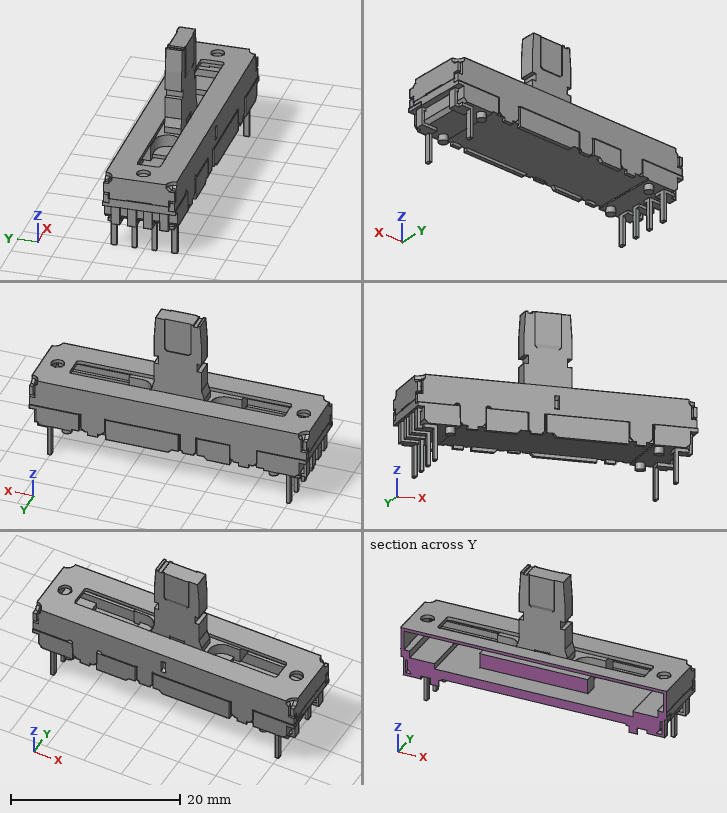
import cadquery as cq

COVER_HALF_X = 17.45
COVER_HALF_Y = 4.38
SHEET = 0.45
COVER_BOTTOM = -3.5
SLOT_HALF_X = 13.55
SLOT_HALF_Y = 1.45
SLOT_CORNER_R = 0.35
HOLE_X = 15.5
HOLE_D = 1.6
CORNER_R = 1.0
CORNER_BEND_R = 0.6
FLAP_SHOULDER = -0.9
FLAP_NARROW = -2.15
FLAP_BOTTOM = -2.95
FLAP_HALF_Y = 3.68
FLAP_NOTCH_HALF_Y = 1.47
FLAP_NOTCH_HEIGHT = 0.1
EAR_TOP = -2.4
EAR_INNER_Y = 3.78
WALL_END_X = 16.75
DENT_HALF_X = 0.28
DENT_TOP = -1.12
DENT_FLOOR_TOP = -1.55
DENT_FLOOR_BOTTOM = -2.52
DENT_BOTTOM = -2.75
DENT_BACKING = 0.2
RELIEF_R = 0.3

RAIL_TOP = FLAP_BOTTOM
LIP_TOP = -2.1
LIP_INNER_Y = 3.65
TRAY_HALF_X = COVER_HALF_X - 0.05
HOUSING_HALF_X = 16.6
HOUSING_HALF_Y = 4.2
HOUSING_BOTTOM = -5.8
END_BLOCK_BOTTOM = -6.02
END_BLOCK_INNER_X = 12.08
END_CHAMFER = 0.5
FLANGE_BOTTOM = -4.0
PIT_HALF_X = 16.25
PIT_HALF_Y = 3.25
PIT_LEDGE = -3.85
DEEP_PIT_HALF_X = 13.0
PIT_FLOOR = -4.55
LUG_X = 35 - COVER_HALF_X
LUG_INNER_Y = -2.25

TAB_HALF_Y = 4.498
LOW_FOOT = -6.23
FOOT_SLOPE = 0.42
LEFT_FOOT_X = -4.55
RIGHT_FOOT_X = -0.5
SIDE_DEPTH = 0.52
LEG_GAP = 0.2
LEG_CHAMFER = 0.45
MIDDLE_LEG_CHAMFER = 0.2
MIDDLE_TONGUE_HALF = 0.75
TONGUE_HALF = 0.63
MIDDLE_OPENING = (-3.7, -1.33)
FRONT_OPENING = (8.9, 12.15)
BACK_OPENING = (7.8, 11.2)

CARRIAGE_TOP = -0.98
CARRIAGE_HALF_X = 7.1
CARRIAGE_HALF_Y = 3.57
CARRIAGE_PLATE_HALF_X = 6.25
CARRIAGE_PLATE_TOP = -2.5
CARRIAGE_PLATE_BOTTOM = -2.95
NOTCH_R = 1.6
NOTCH_TIP_X = 3.8
LEVER_TOP = 10.0
LEVER_HALF_Y = 1.0
LEVER_TOP_HALF_X = 2.8
LEVER_HALF_X = 2.992
LEVER_TAPER_Z = 7.07
LEVER_FLARE_TOP = 0.9
LEVER_FLARE_BOTTOM = -0.2
LEVER_FOOT_HALF_X = 3.35
GROOVE_TOP = 4.6
GROOVE_BOTTOM = 3.57
GROOVE_HALF_X = 2.45
MARK_LEFT = -2.5
MARK_RIGHT = -1.95
MARK_DEPTH = 0.2
RECESS_HALF_X = 0.98
RECESS_TOP = -0.15
RECESS_DEPTH = 0.18
PAD_HALF_X = 1.65
PAD_SHIFT = 0.122
PAD_SLOPE_TOP = 6.02
PAD_BOTTOM = 5.6
PAD_CHAMFER_X = 0.28

PIN_BOTTOM = LEVER_TOP - 20.4
STRAP_OUTER_X = 17.15
STRAP_THICK = 0.35
STRAP_ROOT_BOTTOM = -4.35
FOOT_WIDE_X = 16.52
TERMINAL_FOOT_BOTTOM = -6.45
PIN_OUTER_X = 15.25
PIN_THICK = 0.438
PIN_TIP = 0.15
STRAP_WIDTH = 1.05
INNER_STRAP_Y = 0.45
INNER_PIN_Y = (0.95, 1.5)
OUTER_STRAP_Y = 2.468
OUTER_PIN_Y = (3.4, 4.078)
PEG_X = 13.02
PEG_Y = 3.45
PEG_D = 1.2
PEG_BOTTOM = -6.85


def block(x0, x1, y0, y1, z0, z1):
    """Box given by its limits, in any order."""
    size = (abs(x1 - x0), abs(y1 - y0), abs(z1 - z0))
    return cq.Workplane("XY").box(*size).translate(((x0 + x1) / 2, (y0 + y1) / 2, (z0 + z1) / 2))


def centered(half_x, half_y, z0, z1):
    """Box centred on the Z axis."""
    return block(-half_x, half_x, -half_y, half_y, z0, z1)


def side_profile(points, y0, y1):
    """Extrude an XZ outline between two Y positions."""
    low = min(y0, y1)
    return cq.Workplane("XZ", origin=(0, low, 0)).polyline(points).close().extrude(-abs(y1 - y0))


def cover_corner(sx, sy):
    """Material removed where the top, a side wall and an end flap meet."""
    corner_x = sx * COVER_HALF_X
    corner_y = sy * COVER_HALF_Y
    round_cut = cq.Workplane("XY", origin=(corner_x, corner_y, -SHEET)).circle(CORNER_R).extrude(SHEET)
    bend_cut = cq.Workplane(cq.Solid.makeCone(
        CORNER_R, CORNER_BEND_R, -SHEET - FLAP_SHOULDER,
        pnt=cq.Vector(corner_x, corner_y, -SHEET), dir=cq.Vector(0, 0, -1)))
    flap_inner_x = sx * (COVER_HALF_X - SHEET)
    wall_gap = block(flap_inner_x, sx * WALL_END_X, sy * (COVER_HALF_Y - SHEET), corner_y, EAR_TOP, -SHEET)
    under_flap = block(corner_x, flap_inner_x, sy * FLAP_HALF_Y, corner_y, EAR_TOP, FLAP_NARROW)
    ear_gap = block(corner_x, flap_inner_x, sy * FLAP_HALF_Y, sy * EAR_INNER_Y, FLAP_BOTTOM, EAR_TOP)
    return round_cut.union(bend_cut).union(wall_gap).union(under_flap).union(ear_gap)


def add_dent(cover):
    """Small sloped dent in the front wall, closed behind by pushed-in metal."""
    inner_y = SHEET - COVER_HALF_Y
    half_backing_x = DENT_HALF_X + DENT_BACKING
    backing = block(-half_backing_x, half_backing_x, inner_y, inner_y + DENT_BACKING, DENT_BOTTOM, DENT_TOP)
    dent = (cq.Workplane("YZ", origin=(-DENT_HALF_X, 0, 0))
            .polyline([(-COVER_HALF_Y, DENT_TOP), (inner_y, DENT_FLOOR_TOP),
                       (inner_y, DENT_FLOOR_BOTTOM), (-COVER_HALF_Y, DENT_BOTTOM)])
            .close().extrude(2 * DENT_HALF_X))
    return cover.union(backing).cut(dent)


def make_cover():
    cover = centered(COVER_HALF_X, COVER_HALF_Y, COVER_BOTTOM, 0)
    cover = cover.cut(centered(COVER_HALF_X - SHEET, COVER_HALF_Y - SHEET, COVER_BOTTOM, -SHEET))
    slot = centered(SLOT_HALF_X, SLOT_HALF_Y, -SHEET, 0).edges("|Z").fillet(SLOT_CORNER_R)
    holes = (cq.Workplane("XY").pushPoints([(-HOLE_X, 0), (HOLE_X, 0)])
             .circle(HOLE_D / 2).extrude(-SHEET))
    cover = cover.cut(slot).cut(holes)
    for sx in (-1, 1):
        flap_end = sx * COVER_HALF_X
        flap_inner = sx * (COVER_HALF_X - SHEET)
        cover = cover.cut(block(flap_end, flap_inner, -FLAP_HALF_Y, FLAP_HALF_Y, COVER_BOTTOM, FLAP_BOTTOM))
        cover = cover.cut(block(flap_end, flap_inner, -FLAP_NOTCH_HALF_Y, FLAP_NOTCH_HALF_Y,
                                FLAP_BOTTOM, FLAP_BOTTOM + FLAP_NOTCH_HEIGHT))
        for sy in (-1, 1):
            cover = cover.cut(cover_corner(sx, sy))
    cover = add_dent(cover)
    for relief_x in (-FRONT_OPENING[1] - RELIEF_R, -FRONT_OPENING[0] + RELIEF_R):
        relief = (cq.Workplane("XZ", origin=(relief_x, -COVER_HALF_Y, COVER_BOTTOM))
                  .circle(RELIEF_R).extrude(-SHEET))
        cover = cover.cut(relief)
    return cover


def make_housing():
    h, c = HOUSING_HALF_X, END_CHAMFER
    e = END_BLOCK_INNER_X
    low, mid = END_BLOCK_BOTTOM, HOUSING_BOTTOM
    outline = [(-h, COVER_BOTTOM), (-h, low + c), (-h + c, low), (-e, low), (-e, mid),
               (e, mid), (e, low), (h - c, low), (h, low + c), (h, COVER_BOTTOM)]
    housing = side_profile(outline, -HOUSING_HALF_Y, HOUSING_HALF_Y)
    inside = (COVER_HALF_X - SHEET, COVER_HALF_Y - SHEET)
    housing = housing.union(centered(*inside, COVER_BOTTOM, RAIL_TOP))
    housing = housing.union(centered(TRAY_HALF_X, FLAP_HALF_Y, COVER_BOTTOM, FLAP_BOTTOM))
    housing = housing.union(centered(TRAY_HALF_X, HOUSING_HALF_Y, FLANGE_BOTTOM, COVER_BOTTOM))
    housing = housing.union(block(h, LUG_X, -TAB_HALF_Y, LUG_INNER_Y, FLANGE_BOTTOM, COVER_BOTTOM))
    for sy in (-1, 1):
        housing = housing.union(block(-WALL_END_X, WALL_END_X, sy * LIP_INNER_Y, sy * inside[1],
                                      RAIL_TOP, LIP_TOP))
    housing = housing.cut(centered(PIT_HALF_X, PIT_HALF_Y, PIT_LEDGE, RAIL_TOP))
    return housing.cut(centered(DEEP_PIT_HALF_X, PIT_HALF_Y, PIT_FLOOR, PIT_LEDGE))


def end_tab(sx, sy, inner_x):
    """Housing tab at one end of a long side, rising to the flange."""
    h, c = HOUSING_HALF_X, END_CHAMFER
    outline = [(TRAY_HALF_X, COVER_BOTTOM), (TRAY_HALF_X, FLANGE_BOTTOM), (h, FLANGE_BOTTOM),
               (h, END_BLOCK_BOTTOM + c), (h - c, END_BLOCK_BOTTOM),
               (END_BLOCK_INNER_X, END_BLOCK_BOTTOM)]
    if inner_x < END_BLOCK_INNER_X:
        outline += [(END_BLOCK_INNER_X, HOUSING_BOTTOM), (inner_x, HOUSING_BOTTOM)]
    outline.append((inner_x, COVER_BOTTOM))
    points = [(sx * x, z) for x, z in outline]
    return side_profile(points, sy * (TAB_HALF_Y - SIDE_DEPTH), sy * TAB_HALF_Y)


def middle_tab(sy, plain_x, foot_x, far_x):
    """Housing tab with a deeper foot that starts with a slope at foot_x and runs to far_x."""
    slope_end = foot_x + (FOOT_SLOPE if far_x > plain_x else -FOOT_SLOPE)
    points = [(plain_x, COVER_BOTTOM), (plain_x, HOUSING_BOTTOM), (foot_x, HOUSING_BOTTOM),
              (slope_end, LOW_FOOT), (far_x, LOW_FOOT), (far_x, COVER_BOTTOM)]
    return side_profile(points, sy * (TAB_HALF_Y - SIDE_DEPTH), sy * TAB_HALF_Y)


def cover_leg(sy, x0, x1, tongue_half, tongue_bottom, c):
    """Leg of the cover that hangs between two tabs and ends in a narrower tongue; c is its corner chamfer."""
    center = (x0 + x1) / 2
    left, right = center - tongue_half, center + tongue_half
    points = [(x0, COVER_BOTTOM), (x0, HOUSING_BOTTOM + c), (x0 + c, HOUSING_BOTTOM),
              (left, HOUSING_BOTTOM), (left, tongue_bottom), (right, tongue_bottom),
              (right, HOUSING_BOTTOM), (x1 - c, HOUSING_BOTTOM), (x1, HOUSING_BOTTOM + c),
              (x1, COVER_BOTTOM)]
    return side_profile(points, sy * (COVER_HALF_Y - SHEET), sy * COVER_HALF_Y)


def make_sides():
    parts = []
    for sy, opening in ((-1, FRONT_OPENING), (1, BACK_OPENING)):
        inner, outer = opening
        middle_left, middle_right = MIDDLE_OPENING
        parts.append(middle_tab(sy, middle_left, LEFT_FOOT_X, -inner))
        parts.append(middle_tab(sy, middle_right, RIGHT_FOOT_X, inner))
        parts.append(cover_leg(sy, middle_left + LEG_GAP, middle_right - LEG_GAP, MIDDLE_TONGUE_HALF,
                               END_BLOCK_BOTTOM, MIDDLE_LEG_CHAMFER))
        parts.append(cover_leg(sy, -outer, -inner, TONGUE_HALF, LOW_FOOT, LEG_CHAMFER))
        parts.append(cover_leg(sy, inner + LEG_GAP, outer - LEG_GAP, TONGUE_HALF, LOW_FOOT, LEG_CHAMFER))
        for sx in (-1, 1):
            parts.append(end_tab(sx, sy, outer))
    return parts


def make_carriage():
    carriage = centered(CARRIAGE_HALF_X, CARRIAGE_HALF_Y, RAIL_TOP, CARRIAGE_TOP)
    for sx in (-1, 1):
        center_x = sx * (NOTCH_TIP_X + NOTCH_R)
        carriage = carriage.cut(block(center_x, sx * CARRIAGE_HALF_X, -NOTCH_R, NOTCH_R, RAIL_TOP, CARRIAGE_TOP))
        carriage = carriage.cut(cq.Workplane("XY", origin=(center_x, 0, RAIL_TOP))
                                .circle(NOTCH_R).extrude(CARRIAGE_TOP - RAIL_TOP))
    plate = centered(CARRIAGE_PLATE_HALF_X, PIT_HALF_Y, CARRIAGE_PLATE_BOTTOM, CARRIAGE_PLATE_TOP)
    return carriage.union(plate)


def pad_prism(y0, y1):
    """Thumb pad outline on the lever, with its two lower corners cut off."""
    p, c = PAD_HALF_X, PAD_CHAMFER_X
    points = [(-p, LEVER_TOP), (-p, PAD_BOTTOM + c), (-p + c, PAD_BOTTOM),
              (p - c, PAD_BOTTOM), (p, PAD_BOTTOM + c), (p, LEVER_TOP)]
    return side_profile(points, y0, y1)


def make_lever():
    right = [(LEVER_FOOT_HALF_X, CARRIAGE_TOP), (LEVER_FOOT_HALF_X, LEVER_FLARE_BOTTOM),
             (LEVER_HALF_X, LEVER_FLARE_TOP), (LEVER_HALF_X, GROOVE_BOTTOM),
             (GROOVE_HALF_X, GROOVE_BOTTOM), (GROOVE_HALF_X, GROOVE_TOP),
             (LEVER_HALF_X, GROOVE_TOP), (LEVER_HALF_X, LEVER_TAPER_Z),
             (LEVER_TOP_HALF_X, LEVER_TOP)]
    left = [(-x, z) for x, z in reversed(right)]
    lever = side_profile(right + left, -LEVER_HALF_Y, LEVER_HALF_Y)
    mark = block(MARK_LEFT, MARK_RIGHT, -LEVER_HALF_Y, LEVER_HALF_Y, LEVER_TOP - MARK_DEPTH, LEVER_TOP)
    recess = block(-RECESS_HALF_X, RECESS_HALF_X, -LEVER_HALF_Y, RECESS_DEPTH - LEVER_HALF_Y,
                   CARRIAGE_TOP, RECESS_TOP)
    raised = pad_prism(-LEVER_HALF_Y - PAD_SHIFT, -LEVER_HALF_Y)
    slope = (cq.Workplane("YZ", origin=(-PAD_HALF_X, 0, 0))
             .polyline([(-LEVER_HALF_Y, PAD_BOTTOM), (-LEVER_HALF_Y - PAD_SHIFT, PAD_SLOPE_TOP),
                        (-LEVER_HALF_Y - PAD_SHIFT, PAD_BOTTOM)])
             .close().extrude(2 * PAD_HALF_X))
    sunk = pad_prism(LEVER_HALF_Y - PAD_SHIFT, LEVER_HALF_Y)
    return lever.cut(mark).cut(recess).cut(sunk).union(raised.cut(slope))


def terminal(sx, sy, strap_y, pin_y):
    """Strap down the housing end, foot bent under the housing, and solder pin."""
    strap_end = strap_y + STRAP_WIDTH
    strap = block(sx * STRAP_OUTER_X, sx * (STRAP_OUTER_X - STRAP_THICK), sy * strap_y, sy * strap_end,
                  TERMINAL_FOOT_BOTTOM, FLANGE_BOTTOM)
    root = block(sx * STRAP_OUTER_X, sx * HOUSING_HALF_X, sy * strap_y, sy * strap_end,
                 STRAP_ROOT_BOTTOM, FLANGE_BOTTOM)
    pin_inner_x = PIN_OUTER_X - PIN_THICK
    foot = block(sx * STRAP_OUTER_X, sx * pin_inner_x, sy * strap_y, sy * strap_end,
                 TERMINAL_FOOT_BOTTOM, END_BLOCK_BOTTOM)
    wide_foot = block(sx * FOOT_WIDE_X, sx * pin_inner_x, sy * strap_y, sy * max(strap_end, pin_y[1]),
                      TERMINAL_FOOT_BOTTOM, END_BLOCK_BOTTOM)
    pin = block(sx * PIN_OUTER_X, sx * pin_inner_x, sy * pin_y[0], sy * pin_y[1],
                PIN_BOTTOM, END_BLOCK_BOTTOM)
    pin = pin.faces("<Z").chamfer(PIN_TIP)
    return strap.union(root).union(foot).union(wide_foot).union(pin)


def make_terminals():
    parts = []
    for sy in (-1, 1):
        parts.append(terminal(-1, sy, INNER_STRAP_Y, INNER_PIN_Y))
        for sx in (-1, 1):
            parts.append(terminal(sx, sy, OUTER_STRAP_Y, OUTER_PIN_Y))
    return parts


def make_pegs():
    return (cq.Workplane("XY", origin=(0, 0, HOUSING_BOTTOM))
            .rect(2 * PEG_X, 2 * PEG_Y, forConstruction=True).vertices()
            .circle(PEG_D / 2).extrude(PEG_BOTTOM - HOUSING_BOTTOM))


result = make_housing().union(make_cover())
for piece in make_sides() + [make_carriage(), make_lever()] + make_terminals() + [make_pegs()]:
    result = result.union(piece)